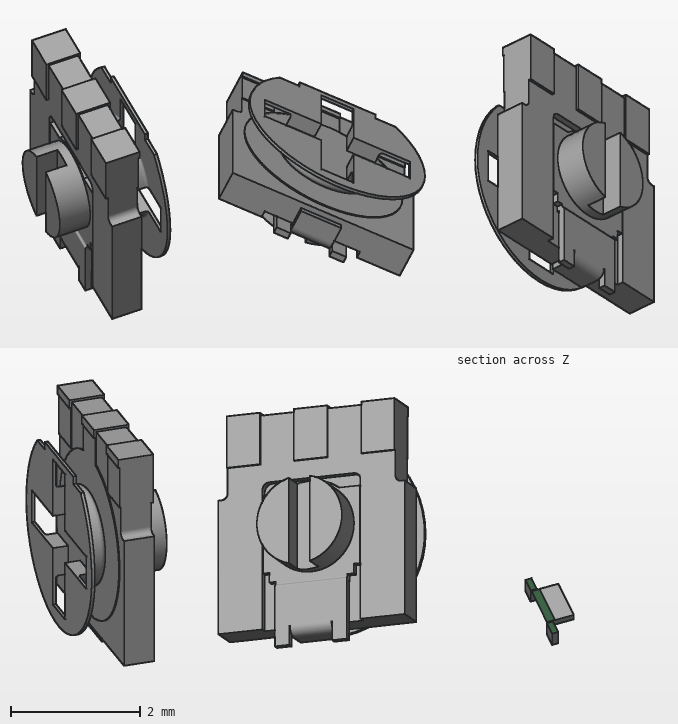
import cadquery as cq
import math


overall_height = 3.78

body_width = 3.1
body_thickness = 0.5
body_bottom = -1.55
body_top = 1.89
neck_width = 2.795
shoulder_z = 0.597
shoulder_radius = 0.1

electrode_count = 3
electrode_width = 0.55
electrode_pitch = (neck_width - electrode_width) / (electrode_count - 1)
electrode_wrap = 0.038
electrode_front_bottom = 1.1
electrode_top = body_top + electrode_wrap
electrode_lip = 0.145

film_thickness = 0.017
film_radius = 1.355
film_back = body_thickness + film_thickness

recess_width = 1.633
recess_top = 0.805
recess_radius = 0.12
recess_depth = 0.11

knob_radius = 0.705
knob_front = -0.505
knob_slot_width = 0.348
knob_slot_floor = -0.155

drum_radius = 0.81
drum_front_fillet = 0.087
drum_root_fillet = 0.045
disc_front = 0.96
disc_back = 1.013
disc_radius = 1.5
disc_step_half_width = 0.995
disc_step_z = 1.25
disc_tab_half_width = 0.65
disc_tab_top = 1.38
drive_slot_floor = 0.765
drive_slot_width = 0.55
drive_slot_length = 2.495

plate_front = 0.008
plate_width = 1.61
plate_top = shoulder_z
plate_side_bottom = -0.65
plate_step_width = 1.405
plate_step_bottom = -0.805
eye_radius = 0.755
leg_width = 1.195
leg_front = -0.025
leg_thickness = 0.105
leg_bottom = electrode_top - overall_height
jog_top = -0.83
jog_bottom = -0.895
notch_width = 0.71
bent_tab_width = 0.688
bent_tab_back = 0.427
bend_inner_radius = 0.045


def block(x_size, y_front, y_back, z_bottom, z_top, x_center=0):
    """Box centred on x_center, between two Y and two Z positions."""
    corner = (x_center - x_size / 2, y_front, z_bottom)
    return cq.Workplane("XY").box(
        x_size, y_back - y_front, z_top - z_bottom, centered=False
    ).translate(corner)


def cylinder(radius, y_front, y_back):
    """Cylinder about the Y axis."""
    return front_plane(y_front).circle(radius).extrude(y_front - y_back)


def front_plane(y):
    """XZ sketch plane at a Y position; its normal points to -Y."""
    return cq.Workplane("XZ", origin=(0, y, 0))


def make_substrate():
    lower = block(body_width, 0, body_thickness, body_bottom, shoulder_z)
    upper = block(neck_width, 0, body_thickness, shoulder_z, body_top)
    substrate = lower.union(upper)
    for side in (-1, 1):
        corner = cq.selectors.NearestToPointSelector(
            (side * neck_width / 2, body_thickness / 2, shoulder_z)
        )
        substrate = substrate.edges(corner).fillet(shoulder_radius)

    film = cylinder(film_radius, body_thickness, film_back)
    substrate = substrate.union(film)

    for index in range(electrode_count):
        x = (index - (electrode_count - 1) / 2) * electrode_pitch
        front = block(
            electrode_width, -electrode_wrap, film_back, electrode_front_bottom, electrode_top, x
        )
        lip = block(
            electrode_width, 0, body_thickness + electrode_wrap,
            electrode_top - electrode_lip, electrode_top, x,
        )
        substrate = substrate.union(front).union(lip)

    recess = block(recess_width, 0, recess_depth, body_bottom, recess_top)
    recess = recess.edges("|Y and >Z").fillet(recess_radius)
    shaft_hole = cylinder(knob_radius, 0, film_back)
    return substrate.cut(recess).cut(shaft_hole)


def make_knob():
    knob = cylinder(knob_radius, knob_front, film_back)
    slot = block(knob_slot_width, knob_front, knob_slot_floor, -knob_radius, knob_radius)
    return knob.cut(slot)


def left_arc_middle():
    """Middle of the left upper arc, which leaves the lower half circle tangentially."""
    run = disc_radius - disc_step_half_width
    radius = (run**2 + disc_step_z**2) / (2 * run)
    half_angle = math.asin(disc_step_z / radius) / 2
    x = disc_radius - radius + radius * math.cos(half_angle)
    return (-x, radius * math.sin(half_angle))


def make_drive_disc():
    return (
        front_plane(disc_front)
        .moveTo(-disc_radius, 0)
        .threePointArc((0, -disc_radius), (disc_radius, 0))
        .tangentArcPoint((disc_step_half_width, disc_step_z), relative=False)
        .lineTo(disc_tab_half_width, disc_step_z)
        .lineTo(disc_tab_half_width, disc_tab_top)
        .lineTo(-disc_tab_half_width, disc_tab_top)
        .lineTo(-disc_tab_half_width, disc_step_z)
        .lineTo(-disc_step_half_width, disc_step_z)
        .threePointArc(left_arc_middle(), (-disc_radius, 0))
        .close()
        .extrude(disc_front - disc_back)
    )


def make_drive_head():
    drum = cylinder(drum_radius, film_back, disc_front)
    drum = drum.faces("<Y").edges().fillet(drum_front_fillet)
    head = drum.union(make_drive_disc())
    root = cq.selectors.NearestToPointSelector((0, disc_front, 0))
    head = head.edges(root).fillet(drum_root_fillet)
    half_width = drive_slot_width / 2
    half_length = drive_slot_length / 2
    head = head.cut(block(drive_slot_length, drive_slot_floor, disc_back, -half_width, half_width))
    head = head.cut(block(drive_slot_width, drive_slot_floor, disc_back, -half_length, half_length))
    return head


def make_wiper_plate():
    plate = block(plate_width, plate_front, recess_depth, plate_side_bottom, plate_top)
    step = block(plate_step_width, plate_front, recess_depth, plate_step_bottom, plate_side_bottom)
    eye = cylinder(eye_radius, plate_front, recess_depth)
    return plate.union(step).union(eye)


def make_leg():
    """Strip that jogs forward below the plate and ends in two prongs."""
    leg_back = leg_front + leg_thickness
    jog_middle = ((plate_front + leg_front) / 2, (jog_top + jog_bottom) / 2)
    leg = (
        cq.Workplane("YZ", origin=(-leg_width / 2, 0, 0))
        .moveTo(plate_front, plate_step_bottom)
        .lineTo(plate_front, jog_top)
        .tangentArcPoint(jog_middle, relative=False)
        .tangentArcPoint((leg_front, jog_bottom), relative=False)
        .lineTo(leg_front, leg_bottom)
        .lineTo(leg_back, leg_bottom)
        .lineTo(leg_back, jog_bottom)
        .lineTo(recess_depth, jog_bottom)
        .lineTo(recess_depth, plate_step_bottom)
        .close()
        .extrude(leg_width)
    )
    return leg.cut(block(notch_width, leg_front, leg_back, leg_bottom, body_bottom))


def make_bent_tab():
    """Tab bent backwards out of the notch between the prongs."""
    leg_back = leg_front + leg_thickness
    outer_radius = bend_inner_radius + leg_thickness
    bend_center_y = leg_back + bend_inner_radius
    return (
        cq.Workplane("YZ", origin=(-bent_tab_width / 2, 0, 0))
        .moveTo(leg_front, body_bottom)
        .radiusArc((bend_center_y, body_bottom - outer_radius), -outer_radius)
        .lineTo(bent_tab_back, body_bottom - outer_radius)
        .lineTo(bent_tab_back, body_bottom - bend_inner_radius)
        .lineTo(bend_center_y, body_bottom - bend_inner_radius)
        .radiusArc((leg_back, body_bottom), bend_inner_radius)
        .close()
        .extrude(bent_tab_width)
    )


def make_rotor():
    terminal = make_wiper_plate().union(make_leg()).union(make_bent_tab())
    return make_knob().union(make_drive_head()).union(terminal)


substrate = make_substrate()
rotor = make_rotor()

result = cq.Compound.makeCompound([substrate.solids().val(), rotor.solids().val()])